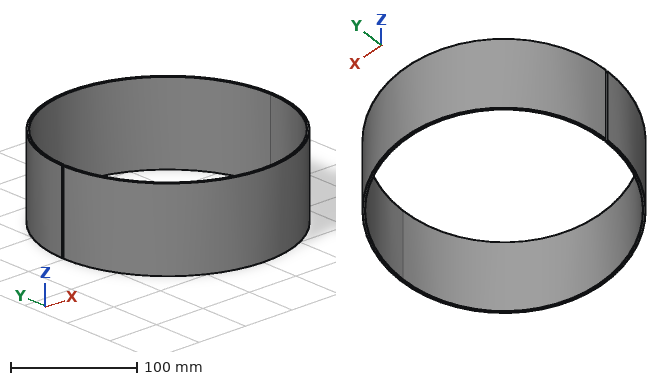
import cadquery as cq

outer_diameter = 225.0
wall = 2.5
height = 80.0
rim_chamfer = 0.5
gap_width = 2.0

outer_radius = outer_diameter / 2
inner_radius = outer_radius - wall

ring = cq.Workplane("XY").circle(outer_radius).circle(inner_radius).extrude(height)
ring = ring.faces("|Z").edges().chamfer(rim_chamfer)

gap_length = 4 * wall
gap = (
    cq.Workplane("XY")
    .center(-outer_radius, gap_width / 2)
    .rect(gap_length, gap_width)
    .extrude(height)
)

result = ring.cut(gap)